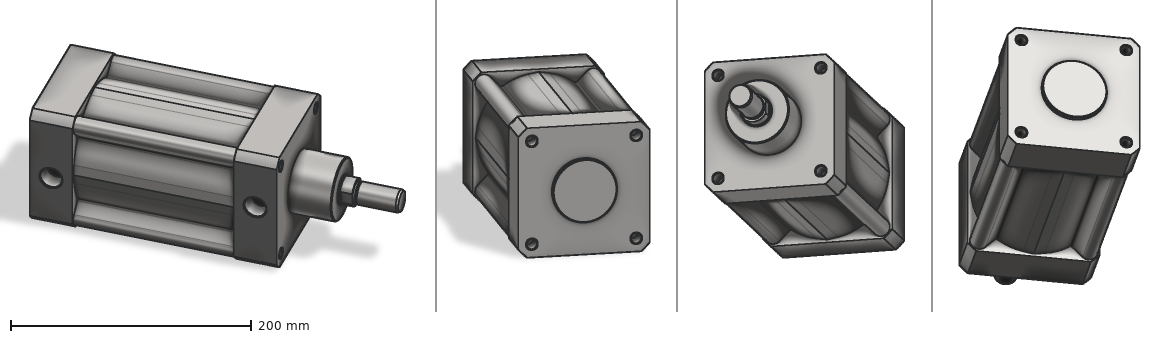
import cadquery as cq
import math

TOTAL_LENGTH = 313.0
REAR_BOSS_LENGTH = 4.0
CAP_LENGTH = 38.0
BARREL_LENGTH = 142.0
FRONT_BOSS_LENGTH = 38.5
COLLAR_LENGTH = 2.0

REAR_CAP_X = REAR_BOSS_LENGTH
BARREL_X = REAR_CAP_X + CAP_LENGTH
FRONT_CAP_X = BARREL_X + BARREL_LENGTH
FRONT_BOSS_X = FRONT_CAP_X + CAP_LENGTH
COLLAR_X = FRONT_BOSS_X + FRONT_BOSS_LENGTH

CAP_SIZE = 112.0
CAP_TURNED_RADIUS = 74.2
BOSS_RADIUS = 27.5
BOSS_CHAMFER = 1.0
COLLAR_RADIUS = 13.0
COLLAR_CHAMFER = 0.5

MOUNT_OFFSET = 44.5
MOUNT_RADIUS = 4.5
MOUNT_CHAMFER = 0.78
MOUNT_DEPTH = 16.0

PORT_OFFSET = 6.0
PORT_RADIUS = 9.5
PORT_CHAMFER = 1.0
PORT_DEPTH = 16.0

BARREL_RADIUS = 53.0
RIB_RADIUS = 7.5
RIB_OFFSET = 46.5
RIB_FILLET = 2.2
RIDGE_HALF_ANGLE = 10.0

ROD_RADIUS = 12.2
FLAT_WIDTH = 22.0
FLAT_START_X = 263.2
SHOULDER_X = 273.0
THREAD_RADIUS = 10.0
NECK_RADIUS = 9.0
NECK_X = 274.8
NECK_LENGTH = 1.0
THREAD_CHAMFER_LENGTH = 2.2


def cylinder_x(start, length, radius):
    """Solid cylinder along +X, centred on the X axis."""
    return cq.Workplane("YZ", origin=(start, 0, 0)).circle(radius).extrude(length)


def hole_cutter(radius, depth, chamfer):
    """Blind hole along +Z from the origin, countersunk at the mouth."""
    outline = [
        (0, 0),
        (radius + chamfer, 0),
        (radius, chamfer),
        (radius, depth),
        (0, depth),
    ]
    return cq.Workplane("YZ").polyline(outline).close().revolve(360, (0, 0, 0), (0, 1, 0))


def make_cap_block(start):
    """Square block with its corners turned to a large radius."""
    block = cq.Workplane("YZ", origin=(start, 0, 0)).rect(CAP_SIZE, CAP_SIZE).extrude(CAP_LENGTH)
    return block.intersect(cylinder_x(start, CAP_LENGTH, CAP_TURNED_RADIUS))


def cut_mount_holes(cap, face_x, inward):
    """Four mounting holes in the face at face_x; inward is the X sign pointing into the cap."""
    cutter = hole_cutter(MOUNT_RADIUS, MOUNT_DEPTH, MOUNT_CHAMFER)
    cutter = cutter.rotate((0, 0, 0), (0, 1, 0), 90 * inward)
    for y in (-MOUNT_OFFSET, MOUNT_OFFSET):
        for z in (-MOUNT_OFFSET, MOUNT_OFFSET):
            cap = cap.cut(cutter.translate((face_x, y, z)))
    return cap


def cut_port(cap, start, z):
    """Air port in the middle of the cap length, entering from the -Y side."""
    cutter = hole_cutter(PORT_RADIUS, PORT_DEPTH, PORT_CHAMFER)
    cutter = cutter.rotate((0, 0, 0), (1, 0, 0), -90)
    return cap.cut(cutter.translate((start + CAP_LENGTH / 2, -CAP_SIZE / 2, z)))


def make_rear_cap():
    boss = cylinder_x(0, REAR_BOSS_LENGTH, BOSS_RADIUS).faces("<X").chamfer(BOSS_CHAMFER)
    cap = make_cap_block(REAR_CAP_X).union(boss)
    cap = cut_mount_holes(cap, REAR_CAP_X, 1)
    return cut_port(cap, REAR_CAP_X, -PORT_OFFSET)


def make_front_cap():
    boss = cylinder_x(FRONT_BOSS_X, FRONT_BOSS_LENGTH, BOSS_RADIUS).faces(">X").chamfer(BOSS_CHAMFER)
    collar = cylinder_x(COLLAR_X, COLLAR_LENGTH, COLLAR_RADIUS).faces(">X").chamfer(COLLAR_CHAMFER)
    cap = make_cap_block(FRONT_CAP_X).union(boss).union(collar)
    cap = cut_mount_holes(cap, FRONT_BOSS_X, -1)
    cap = cut_port(cap, FRONT_CAP_X, PORT_OFFSET)
    rod_bore = cylinder_x(FRONT_CAP_X, COLLAR_X + COLLAR_LENGTH - FRONT_CAP_X, ROD_RADIUS)
    return cap.cut(rod_bore)


def make_rib():
    """Round-ended rib along the barrel, reaching from the axis to the +Y +Z corner."""
    reach = RIB_OFFSET * math.sqrt(2)
    profile = cq.Workplane("YZ", origin=(BARREL_X, 0, 0))
    web = profile.center(reach / 2, 0).rect(reach, 2 * RIB_RADIUS).extrude(BARREL_LENGTH)
    tip = profile.center(reach, 0).circle(RIB_RADIUS).extrude(BARREL_LENGTH)
    return web.union(tip).rotate((0, 0, 0), (1, 0, 0), 45)


def make_ridge():
    """Wedge toward +Z whose two outer faces are tangent to the barrel and meet in a ridge."""
    angle = math.radians(RIDGE_HALF_ANGLE)
    half_width = BARREL_RADIUS * math.sin(angle)
    foot = BARREL_RADIUS * math.cos(angle)
    peak = BARREL_RADIUS / math.cos(angle)
    outline = [(0, 0), (half_width, foot), (0, peak), (-half_width, foot)]
    return cq.Workplane("YZ", origin=(BARREL_X, 0, 0)).polyline(outline).close().extrude(BARREL_LENGTH)


def is_rib_root(edge):
    """True for the lengthwise edges where a rib leaves the round barrel."""
    center = edge.Center()
    on_barrel = abs(math.hypot(center.y, center.z) - BARREL_RADIUS) < RIB_FILLET / 10
    near_corner = min(abs(center.y), abs(center.z)) > BARREL_RADIUS / 2
    return on_barrel and near_corner


def make_barrel():
    quarter_turns = (0, 90, 180, 270)
    barrel = cylinder_x(BARREL_X, BARREL_LENGTH, BARREL_RADIUS)
    for turn in quarter_turns:
        barrel = barrel.union(make_rib().rotate((0, 0, 0), (1, 0, 0), turn))
    barrel = barrel.edges("|X").filter(is_rib_root).fillet(RIB_FILLET)
    for turn in quarter_turns:
        barrel = barrel.union(make_ridge().rotate((0, 0, 0), (1, 0, 0), turn))
    return barrel


def make_rod():
    """Turned rod through the front cap, with wrench flats and a threaded end."""
    step = THREAD_RADIUS - NECK_RADIUS
    outline = [
        (FRONT_CAP_X, 0),
        (FRONT_CAP_X, ROD_RADIUS),
        (SHOULDER_X, ROD_RADIUS),
        (SHOULDER_X, THREAD_RADIUS),
        (NECK_X, THREAD_RADIUS),
        (NECK_X, NECK_RADIUS),
        (NECK_X + NECK_LENGTH, NECK_RADIUS),
        (NECK_X + NECK_LENGTH + step, THREAD_RADIUS),
        (TOTAL_LENGTH - THREAD_CHAMFER_LENGTH, THREAD_RADIUS),
        (TOTAL_LENGTH, NECK_RADIUS),
        (TOTAL_LENGTH, 0),
    ]
    rod = cq.Workplane("XY").polyline(outline).close().revolve(360, (0, 0, 0), (1, 0, 0))
    flat_length = SHOULDER_X - FLAT_START_X
    for side in (-1, 1):
        flat_cut = cq.Workplane("XY").box(flat_length, ROD_RADIUS, 2 * ROD_RADIUS).translate(
            (FLAT_START_X + flat_length / 2, side * (FLAT_WIDTH + ROD_RADIUS) / 2, 0)
        )
        rod = rod.cut(flat_cut)
    return rod


rear_cap = make_rear_cap()
barrel = make_barrel()
front_cap = make_front_cap()
rod = make_rod()

result = cq.Compound.makeCompound([rear_cap.val(), barrel.val(), front_cap.val(), rod.val()])